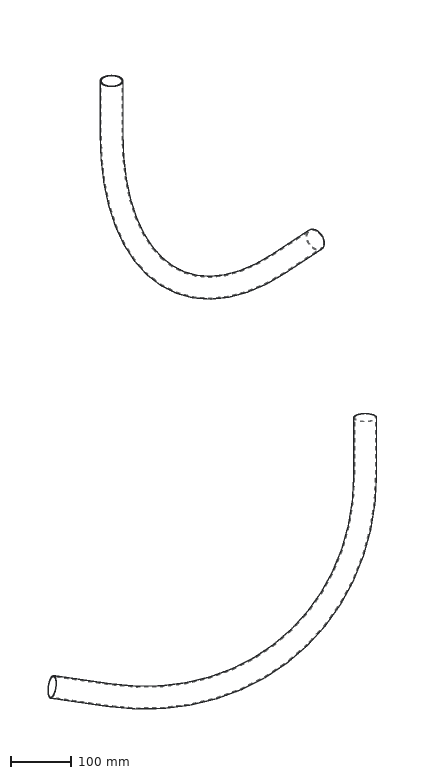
import cadquery as cq
import math

overall_size = 578.0
outer_diameter = 38.0
inner_diameter = 34.0
straight_length = 101.0

outer_radius = outer_diameter / 2
bend_radius = overall_size - straight_length - outer_radius
bend_start = (0, bend_radius)
bend_middle = (bend_radius * (1 - math.cos(math.pi / 4)), bend_radius * (1 - math.sin(math.pi / 4)))
bend_end = (bend_radius, 0)
leg_top = bend_radius + straight_length

centreline = (
    cq.Workplane("YZ")
    .moveTo(0, leg_top)
    .lineTo(*bend_start)
    .threePointArc(bend_middle, bend_end)
    .lineTo(leg_top, 0)
)

result = (
    cq.Workplane("XY", origin=(0, 0, leg_top))
    .circle(outer_radius)
    .circle(inner_diameter / 2)
    .sweep(centreline)
)